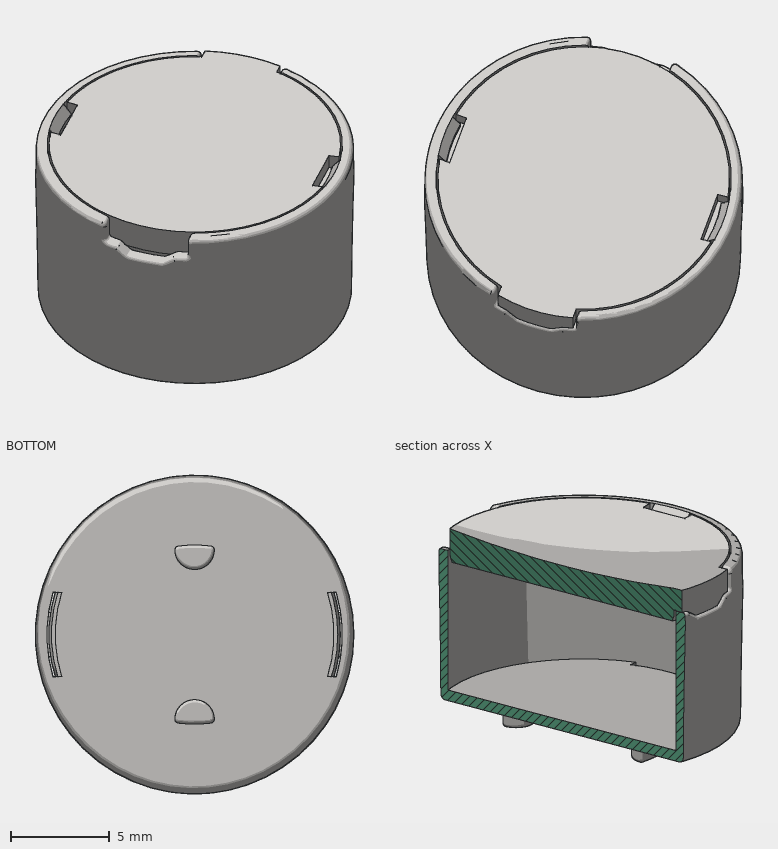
import cadquery as cq
import math

max_radius = 8.05
housing_height = 9.3
parting_depth = 2.0
draft_angle = 1.0
bore_radius = 7.45
floor_thickness = max_radius - bore_radius
rim_fillet = 0.3
parting_z = housing_height - parting_depth
draft_slope = math.tan(math.radians(draft_angle))

notch_half_width = 2.15
shoulder_depth = 1.19
shoulder_half_width = 1.51
notch_depth = 1.58
notch_floor_half_width = 0.9
notch_corner_fillet = 0.16
notch_bend_fillet = 0.27
notch_edge_fillet = 0.2

pin_length = 1.0
pin_radius = 1.0
pin_inner_reach = 3.28
pin_outer_reach = 4.52
pin_trim_radius = 6.44
pin_corner_fillet = 0.21
pin_end_fillet = 0.2

hook_half_width = 1.13
hook_toe_radius = 7.04
hook_ramp_height = 0.55
window_half_width = 2.13

lid_radius = 7.35
lid_wall_height = 1.48
lid_chamfer_height = 0.32
lid_chamfer_width = 0.13
lid_thickness = lid_wall_height + lid_chamfer_height
dish_depth = 0.4
dish_radius = (lid_radius**2 + dish_depth**2) / (2 * dish_depth)
tab_half_width = notch_half_width - notch_corner_fillet
tab_radius = max_radius - notch_edge_fillet
pocket_half_width = 1.32
pocket_inner_x = 6.7
pocket_depth = 0.8


def cylinder(radius, bottom, height):
    return cq.Workplane("XY").workplane(offset=bottom).circle(radius).extrude(height)


def ring(inner_radius, outer_radius, bottom, height):
    return cylinder(outer_radius, bottom, height).cut(cylinder(inner_radius, bottom, height))


def box_between(x_range, y_range, z_range):
    size = [high - low for low, high in (x_range, y_range, z_range)]
    corner = (x_range[0], y_range[0], z_range[0])
    return cq.Workplane("XY").box(*size, centered=False).translate(corner)


def band_along_x(half_width):
    """A band across the whole housing, centred on the XZ plane."""
    return box_between((-max_radius, max_radius), (-half_width, half_width), (0, housing_height))


def revolved(profile):
    """A solid of revolution about Z from (radius, Z) points."""
    return cq.Workplane("XZ").polyline(profile).close().revolve(360, (0, 0, 0), (0, 1, 0))


def notch_prism():
    """The notch outline swept along the full diameter in Y."""
    shoulder_z = housing_height - shoulder_depth
    notch_floor_z = housing_height - notch_depth
    right_side = [
        (notch_floor_half_width, notch_floor_z),
        (shoulder_half_width, shoulder_z),
        (notch_half_width, shoulder_z),
        (notch_half_width, housing_height),
    ]
    left_side = [(-x, z) for x, z in reversed(right_side)]
    prism = cq.Workplane("XZ").polyline(right_side + left_side).close().extrude(max_radius, both=True)

    def lengthwise_edges(half_width, z):
        points = [(side * half_width, 0, z) for side in (-1, 1)]
        edges = [prism.edges(cq.selectors.NearestToPointSelector(p)).val() for p in points]
        return prism.newObject(edges)

    prism = lengthwise_edges(notch_half_width, shoulder_z).fillet(notch_corner_fillet)
    prism = lengthwise_edges(shoulder_half_width, shoulder_z).fillet(notch_bend_fillet)
    return lengthwise_edges(notch_floor_half_width, notch_floor_z).fillet(notch_bend_fillet)


def housing_shell():
    bottom_radius = max_radius - parting_z * draft_slope
    rim_radius = max_radius - parting_depth * draft_slope
    profile = [
        (0, 0),
        (bottom_radius, 0),
        (max_radius, parting_z),
        (rim_radius, housing_height),
        (bore_radius, housing_height),
        (bore_radius, floor_thickness),
        (0, floor_thickness),
    ]
    shell = revolved(profile).faces("<Z").edges().fillet(rim_fillet)
    outer_rim = shell.faces(">Z").edges("%CIRCLE").edges(cq.selectors.RadiusNthSelector(1))
    return outer_rim.fillet(rim_fillet)


def notch_outer_edges(shell):
    """Edges where the notches meet the outer surface and the rim's top face."""
    tolerance = 0.02
    outer_edges = []
    for edge in shell.edges("not(|Y)").vals():
        middle = edge.positionAt(0.5)
        inside_width = abs(middle.x) < notch_half_width + tolerance
        above_floor = middle.z > housing_height - notch_depth - tolerance
        beyond_bore = math.hypot(middle.x, middle.y) > bore_radius + tolerance
        if inside_width and above_floor and beyond_bore:
            outer_edges.append(edge)
    top_edges = shell.faces(">Z").edges("|Y").vals()
    return shell.newObject(outer_edges + top_edges)


def snap_hooks():
    """Two ramped teeth on the bore, with flat undersides that hold the lid down."""
    top_z = housing_height
    underside_z = top_z - pocket_depth
    root_radius = (bore_radius + max_radius) / 2 - rim_fillet / 2
    tooth_profile = [
        (hook_toe_radius, underside_z),
        (root_radius, underside_z),
        (root_radius, top_z),
        (bore_radius, top_z),
        (hook_toe_radius, top_z - hook_ramp_height),
    ]
    return revolved(tooth_profile).intersect(band_along_x(hook_half_width))


def floor_windows():
    """Two slots through the floor below the hooks, along the wall."""
    slots = ring(hook_toe_radius, bore_radius, 0, floor_thickness)
    return slots.intersect(band_along_x(window_half_width))


def locating_pin(turn):
    """A round pin whose outer side is trimmed to a shallow arc, turned about Z from -X."""
    center_x = -(pin_inner_reach + pin_radius)
    trim_center_x = pin_trim_radius - pin_outer_reach
    pin = cylinder(pin_radius, -pin_length, pin_length).translate((center_x, 0, 0))
    trim = cylinder(pin_trim_radius, -pin_length, pin_length).translate((trim_center_x, 0, 0))
    pin = pin.intersect(trim)
    pin = pin.edges("|Z").edges("<X").fillet(pin_corner_fillet)
    pin = pin.faces("<Z").edges().fillet(pin_end_fillet)
    return pin.rotate((0, 0, 0), (0, 0, 1), turn)


def make_housing():
    housing = housing_shell().cut(notch_prism())
    housing = notch_outer_edges(housing).fillet(notch_edge_fillet)
    housing = housing.union(snap_hooks()).cut(floor_windows())
    for turn in (-90, 90):
        housing = housing.union(locating_pin(turn))
    return housing


def lid_tab():
    """The part of the +Y notch that the lid fills."""
    overlap_radius = lid_radius - 2 * lid_chamfer_width
    annulus = ring(overlap_radius, tab_radius, 0, housing_height)
    side = box_between((-tab_half_width, tab_half_width), (0, max_radius), (0, housing_height))
    return notch_prism().intersect(annulus).intersect(side)


def hook_pockets():
    """Two recesses in the lid's top that clear the hooks, with floors against their undersides."""
    pocket_floor_z = housing_height - pocket_depth
    band = band_along_x(pocket_half_width)
    between = box_between(
        (-pocket_inner_x, pocket_inner_x),
        (-pocket_half_width, pocket_half_width),
        (0, housing_height),
    )
    below = cylinder(max_radius, 0, pocket_floor_z)
    return band.cut(between).cut(below)


def make_lid():
    bottom_z = housing_height - lid_thickness
    edge_z = housing_height - lid_wall_height
    profile = [
        (0, bottom_z),
        (lid_radius - lid_chamfer_width, bottom_z),
        (lid_radius, edge_z),
        (lid_radius, housing_height),
        (0, housing_height),
    ]
    lid = revolved(profile).union(lid_tab())
    dish_center_z = housing_height - dish_depth + dish_radius
    lid = lid.cut(cq.Workplane("XY").sphere(dish_radius).translate((0, 0, dish_center_z)))
    return lid.cut(hook_pockets())


housing = make_housing()
lid = make_lid()
result = cq.Compound.makeCompound([housing.val(), lid.val()])